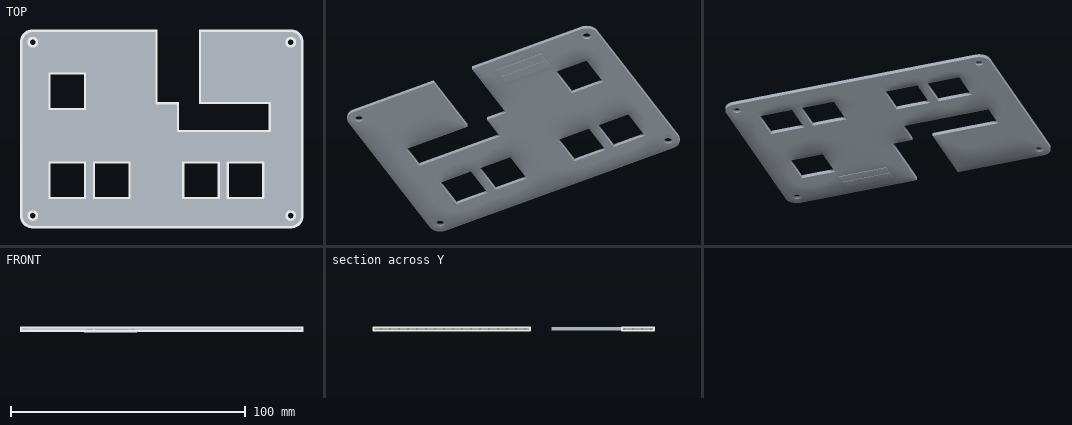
import cadquery as cq

plate_length = 120.0
plate_width = 83.9
plate_thickness = 1.5
corner_radius = 5.0

hole_diameter = 3.4
hole_inset = corner_radius

window_side = 15.0
key_pitch = 19.0
first_key_x = 19.7
first_key_y = 20.03
key_cells = [(0, 0), (1, 0), (3, 0), (4, 0), (0, 2)]

notch_left = 57.8
notch_width = 18.5
slot_left = 67.0
slot_length = 39.0
slot_front = 41.1
slot_width = 11.8
slot_back = slot_front + slot_width
slot_right = slot_left + slot_length
notch_right = notch_left + notch_width

strip_count = 2
strip_height = 0.2
strip_left = 27.3
strip_length = 21.7
strip_width = 4.2
strip_gap = 0.4
strip_back_margin = 5.4


def make_plate():
    plate = cq.Workplane("XY").box(plate_length, plate_width, plate_thickness, centered=False)
    return plate.edges("|Z").fillet(corner_radius)


def cut_mounting_holes(plate):
    centers = [
        (x, y)
        for x in (hole_inset, plate_length - hole_inset)
        for y in (hole_inset, plate_width - hole_inset)
    ]
    holes = cq.Workplane("XY").pushPoints(centers).circle(hole_diameter / 2).extrude(plate_thickness)
    return plate.cut(holes)


def cut_switch_windows(plate):
    centers = [
        (first_key_x + column * key_pitch, first_key_y + row * key_pitch)
        for column, row in key_cells
    ]
    windows = cq.Workplane("XY").pushPoints(centers).rect(window_side, window_side).extrude(plate_thickness)
    return plate.cut(windows)


def cut_stepped_opening(plate):
    outline = [
        (notch_left, plate_width),
        (notch_left, slot_back),
        (slot_left, slot_back),
        (slot_left, slot_front),
        (slot_right, slot_front),
        (slot_right, slot_back),
        (notch_right, slot_back),
        (notch_right, plate_width),
    ]
    opening = cq.Workplane("XY").polyline(outline).close().extrude(plate_thickness)
    return plate.cut(opening)


def add_underside_strips(plate):
    for index in range(strip_count):
        strip_back = plate_width - strip_back_margin - index * (strip_width + strip_gap)
        strip = (
            cq.Workplane("XY")
            .moveTo(strip_left, strip_back - strip_width)
            .rect(strip_length, strip_width, centered=False)
            .extrude(-strip_height)
        )
        plate = plate.union(strip)
    return plate


result = make_plate()
result = cut_mounting_holes(result)
result = cut_switch_windows(result)
result = cut_stepped_opening(result)
result = add_underside_strips(result)